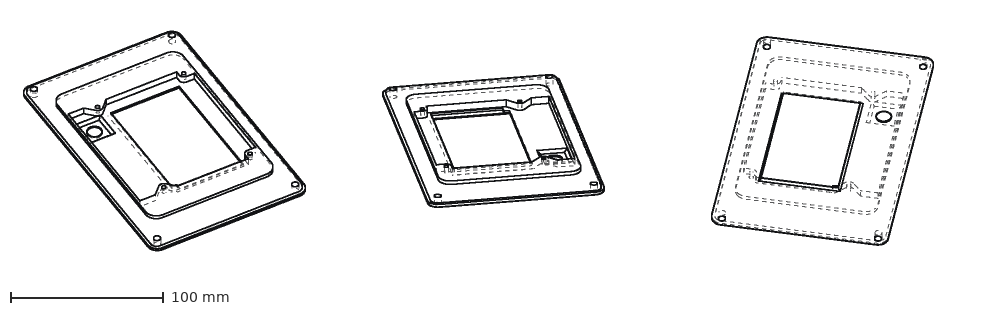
import cadquery as cq
import math

RIM_LENGTH = 177.1
RIM_WIDTH = 117.62
RIM_HEIGHT = 2.5
RIM_CORNER_RADIUS = 7.0
RIM_FILLET = 1.2

LIP_LENGTH = 172.3
LIP_WIDTH = 113.6
LIP_TOP = 5.5
LIP_CORNER_RADIUS = 4.5
LIP_FILLET = 1.8

BOSS_LENGTH = 132.8
BOSS_WIDTH = 94.7
BOSS_TOP = 8.0
BOSS_CORNER_RADIUS = 8.0

POCKET_LENGTH = 95.0
POCKET_WIDTH = 91.0
POCKET_FLOOR = 3.0
POST_RADIUS = 3.5
BOARD_SCREW_DIAMETER = 2.8
BOARD_SCREW_X = 44.0
UPPER_SCREW_Y = 39.5
LOWER_SCREW_Y = -25.45
BOARD_SCREW_DEPTH = 4.0

WINDOW_LEFT = -39.4
WINDOW_RIGHT = 41.3
WINDOW_BOTTOM = -18.1
WINDOW_TOP = 33.3
RELIEF_RIGHT = 46.1
RELIEF_BOTTOM = -14.4
WINDOW_BEVEL = 1.5
RELIEF_FLOOR = WINDOW_BEVEL

BUTTON_X = -31.0
BUTTON_Y = -35.1
BUTTON_RECESS_SIZE = 20.0
BUTTON_FLOOR_SIZE = 16.0
BUTTON_FLOOR = 1.0
BUTTON_HOLE_DIAMETER = 10.0

MOUNT_HOLE_DIAMETER = 4.6
MOUNT_HOLE_X = 81.8
MOUNT_HOLE_Y = 52.0


def rounded_plate(length, width, bottom, top, corner_radius):
    """Flat layer between two heights, with rounded vertical corners."""
    plate = cq.Workplane("XY").workplane(offset=bottom).rect(length, width).extrude(top - bottom)
    return plate.edges("|Z").fillet(corner_radius)


def box_between(left, right, front, back, bottom, top):
    """Axis-aligned box given by its six sides."""
    box = cq.Workplane("XY").box(right - left, back - front, top - bottom, centered=False)
    return box.translate((left, front, bottom))


def stepped_body():
    """Rim, lip and boss stacked, with the outer edges rounded."""
    rim = rounded_plate(RIM_LENGTH, RIM_WIDTH, 0, RIM_HEIGHT, RIM_CORNER_RADIUS)
    rim = rim.faces("<Z").edges().fillet(RIM_FILLET)
    lip = rounded_plate(LIP_LENGTH, LIP_WIDTH, RIM_HEIGHT, LIP_TOP, LIP_CORNER_RADIUS)
    lip = lip.faces(">Z").edges().fillet(LIP_FILLET)
    boss = rounded_plate(BOSS_LENGTH, BOSS_WIDTH, LIP_TOP, BOSS_TOP, BOSS_CORNER_RADIUS)
    return rim.union(lip).union(boss)


def board_pocket():
    """Pocket cut: half of the outline is drawn on +X and mirrored to -X."""
    side = POCKET_LENGTH / 2
    end = POCKET_WIDTH / 2
    post_inner_x = BOARD_SCREW_X - POST_RADIUS
    diagonal = POST_RADIUS / math.sqrt(2)
    flank_reach = POST_RADIUS * math.sqrt(2) + side - BOARD_SCREW_X
    half = (
        cq.Workplane("XY")
        .workplane(offset=POCKET_FLOOR)
        .moveTo(0, end)
        .lineTo(post_inner_x, end)
        .lineTo(post_inner_x, UPPER_SCREW_Y)
        .threePointArc(
            (BOARD_SCREW_X - diagonal, UPPER_SCREW_Y - diagonal),
            (BOARD_SCREW_X, UPPER_SCREW_Y - POST_RADIUS),
        )
        .lineTo(side, UPPER_SCREW_Y - POST_RADIUS)
        .lineTo(side, LOWER_SCREW_Y + flank_reach)
        .lineTo(BOARD_SCREW_X - diagonal, LOWER_SCREW_Y + diagonal)
        .threePointArc(
            (post_inner_x, LOWER_SCREW_Y),
            (BOARD_SCREW_X - diagonal, LOWER_SCREW_Y - diagonal),
        )
        .lineTo(side, LOWER_SCREW_Y - flank_reach)
        .lineTo(side, -end)
        .lineTo(0, -end)
        .close()
        .extrude(BOSS_TOP - POCKET_FLOOR)
    )
    return half.union(half.mirror("YZ"))


def display_window():
    """Through window, relief beside it and a 45 degree bevel around its lower edge."""
    width = WINDOW_RIGHT - WINDOW_LEFT
    height = WINDOW_TOP - WINDOW_BOTTOM
    window = box_between(WINDOW_LEFT, WINDOW_RIGHT, WINDOW_BOTTOM, WINDOW_TOP, 0, BOSS_TOP)
    relief = box_between(WINDOW_RIGHT, RELIEF_RIGHT, RELIEF_BOTTOM, WINDOW_TOP, RELIEF_FLOOR, POCKET_FLOOR)
    bevel = (
        cq.Workplane("XY")
        .center((WINDOW_LEFT + WINDOW_RIGHT) / 2, (WINDOW_BOTTOM + WINDOW_TOP) / 2)
        .rect(width + 2 * WINDOW_BEVEL, height + 2 * WINDOW_BEVEL)
        .workplane(offset=WINDOW_BEVEL)
        .rect(width, height)
        .loft(ruled=True)
    )
    return window.union(relief).union(bevel)


def button_recess():
    """Square recess that narrows towards its floor, with a round hole through the floor."""
    recess = (
        cq.Workplane("XY")
        .workplane(offset=BUTTON_FLOOR)
        .rect(BUTTON_FLOOR_SIZE, BUTTON_FLOOR_SIZE)
        .workplane(offset=POCKET_FLOOR - BUTTON_FLOOR)
        .rect(BUTTON_RECESS_SIZE, BUTTON_RECESS_SIZE)
        .loft(ruled=True)
    )
    hole = cq.Workplane("XY").circle(BUTTON_HOLE_DIAMETER / 2).extrude(POCKET_FLOOR)
    return recess.union(hole).translate((BUTTON_X, BUTTON_Y, 0))


def pins(points, diameter, bottom, top):
    """Vertical cylinders used as hole cutters."""
    base = cq.Workplane("XY").workplane(offset=bottom)
    return base.pushPoints(points).circle(diameter / 2).extrude(top - bottom)


def corner_points(x, lower_y, upper_y):
    """Four points, mirrored to both sides of the centre line."""
    return [(side * x, y) for side in (-1, 1) for y in (lower_y, upper_y)]


board_screw_points = corner_points(BOARD_SCREW_X, LOWER_SCREW_Y, UPPER_SCREW_Y)
mount_points = corner_points(MOUNT_HOLE_X, -MOUNT_HOLE_Y, MOUNT_HOLE_Y)

result = (
    stepped_body()
    .cut(board_pocket())
    .cut(display_window())
    .cut(button_recess())
    .cut(pins(board_screw_points, BOARD_SCREW_DIAMETER, BOSS_TOP - BOARD_SCREW_DEPTH, BOSS_TOP))
    .cut(pins(mount_points, MOUNT_HOLE_DIAMETER, 0, LIP_TOP))
)